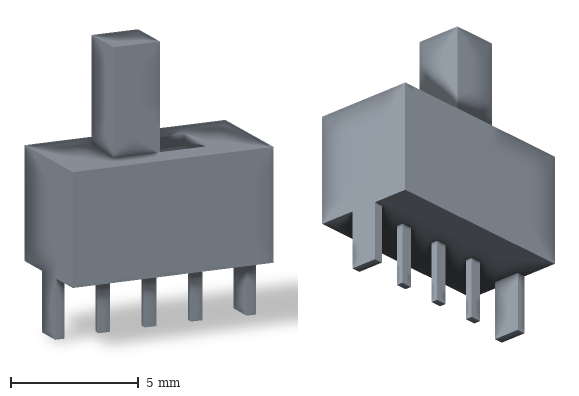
import cadquery as cq

width = 4.4
length = 8.7
height = 11.8

lever_side = 2.01
lever_height = 4.5
slot_length = 2 * lever_side
slot_depth = 0.5

pin_length = 2.6
pin_width = 0.3
pin_breadth = 0.5
pin_pitch = 2.01
pin_count = 3

leg_length = 2.5
leg_width = 1.2
leg_thickness = 0.4

body_height = height - lever_height - pin_length


def block(size_x, size_y, bottom, top, center_y=0):
    """Upright block centred on X = 0, between two heights."""
    return (
        cq.Workplane("XY", origin=(0, center_y, bottom))
        .rect(size_x, size_y)
        .extrude(top - bottom)
    )


body = block(width, length, 0, body_height)
slot_floor = body_height - slot_depth
result = body.cut(block(lever_side, slot_length, slot_floor, body_height))

lever_y = (lever_side - slot_length) / 2
lever_top = body_height + lever_height
result = result.union(block(lever_side, lever_side, slot_floor, lever_top, lever_y))

for index in range(pin_count):
    pin_y = (index - (pin_count - 1) / 2) * pin_pitch
    result = result.union(block(pin_width, pin_breadth, -pin_length, 0, pin_y))

for side in (-1, 1):
    leg_y = side * (length - leg_thickness) / 2
    result = result.union(block(leg_width, leg_thickness, -leg_length, 0, leg_y))